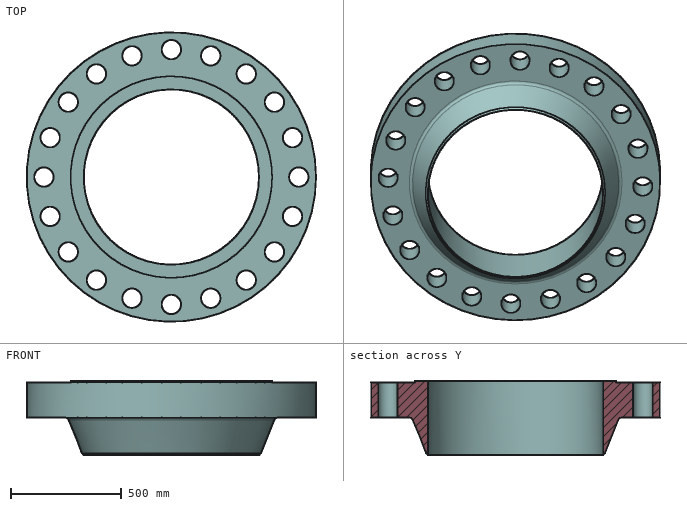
import cadquery as cq

flange_diameter = 1315.0
flange_thickness = 160.0
bore_diameter = 794.0

face_diameter = 915.0
face_height = 7.0

total_height = 336.0
hub_base_diameter = 944.0
hub_tip_diameter = 815.0
hub_root_radius = 16.0
tip_bevel_height = 9.0
tip_bevel_width = 9.0

bolt_count = 20
bolt_circle_diameter = 1157.0
bolt_hole_diameter = 87.0

hub_height = total_height - flange_thickness - face_height
flange_top = hub_height + flange_thickness


def make_ring():
    return (
        cq.Workplane("XY", origin=(0, 0, hub_height))
        .circle(flange_diameter / 2)
        .extrude(flange_thickness)
    )


def make_raised_face():
    return (
        cq.Workplane("XY", origin=(0, 0, flange_top))
        .circle(face_diameter / 2)
        .extrude(face_height)
    )


def make_hub():
    """Revolve the taper and the weld bevel at its tip."""
    tip_radius = hub_tip_diameter / 2
    profile = [
        (0, 0),
        (tip_radius - tip_bevel_width, 0),
        (tip_radius, tip_bevel_height),
        (hub_base_diameter / 2, hub_height),
        (0, hub_height),
    ]
    return cq.Workplane("XZ").polyline(profile).close().revolve(360, (0, 0, 0), (0, 1, 0))


def root_edge(height, diameter):
    """Select the circular edge where a smaller round body meets the ring."""
    margin = 1.0
    reach = diameter / 2 + margin
    return cq.selectors.BoxSelector(
        (-reach, -reach, height - margin),
        (reach, reach, height + margin),
        boundingbox=True,
    )


body = make_ring().union(make_raised_face()).union(make_hub())
body = body.edges(root_edge(hub_height, hub_base_diameter)).fillet(hub_root_radius)

bore = cq.Workplane("XY").circle(bore_diameter / 2).extrude(total_height)
bolt_holes = (
    cq.Workplane("XY", origin=(0, 0, hub_height))
    .polarArray(bolt_circle_diameter / 2, 0, 360, bolt_count)
    .circle(bolt_hole_diameter / 2)
    .extrude(flange_thickness)
)
result = body.cut(bore).cut(bolt_holes)